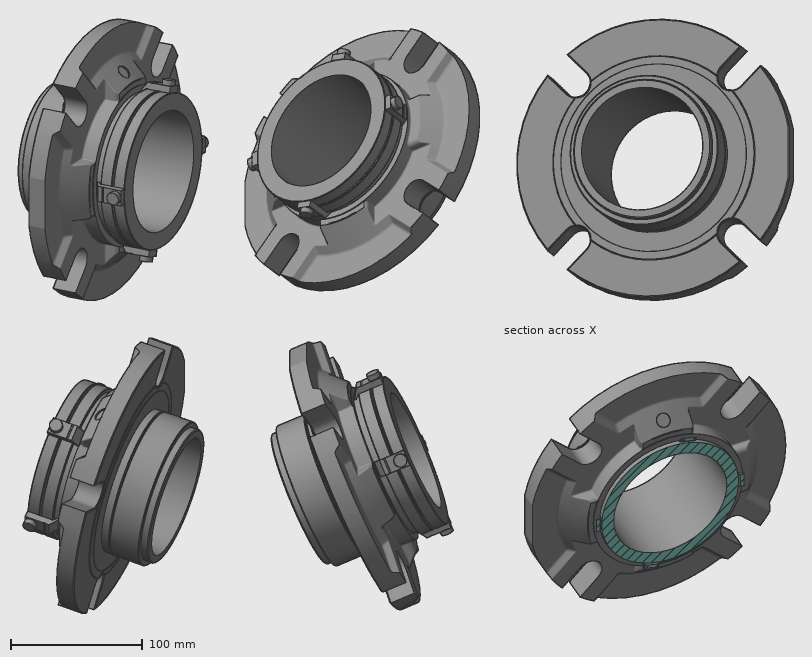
import cadquery as cq
import math


total_length = 97.1
bore_diameter = 95.0
nose_length = 6.1
nose_diameter = 107.92
seat_end = 30.2
seat_diameter = 116.2
relief_end = 31.3
relief_diameter = 112.79
shank_diameter = 115.88
sleeve_chamfer = 0.6
nose_chamfer = 0.9

neck_diameter = 115.77
collar_start = 76.3
collar_diameter = 122.07
groove_start = 86.1
groove_end = 87.5
groove_diameter = 109.93
collar_chamfer = 0.5

plate_diameter = 215.65
plate_start = 38.4
plate_end = 52.9
plate_chamfer = 0.8
flat_offset = 106.0
pilot_start = 37.1
pilot_diameter = 145.47
step_start = 37.7
step_radius = 79.3

slot_angles = (45, 135, 225, 315)
slot_width = 21.4
slot_centre_radius = 85.9
pad_end = 58.6
pad_base_half_width = 29.1
pad_top_half_width = 25.1
pad_fillet = 3.0

hub_radius = 62.9
hub_end = 71.0
lug_end = 70.3
cone_radius_at_pad_face = 79.2
lug_half_width = 22.5
lug_corner_radius = 4.3
lug_base_fillet = 1.2
lug_edge_fillet = 1.0
short_lug_end = 66.5
port_diameter = 11.0
port_station = 62.9
port_depth = 1.2

clip_width = 12.4
clip_inner_radius = 60.9
clip_outer_radius = 66.1
clip_tip_start = 71.6
clip_tip_radius = 57.7
clip_tip_thickness = 1.6
clip_bend = 77.0
clip_groove_start = 80.3
clip_groove_width = 1.2
clip_groove_depth = 0.3
pin_diameter = 10.0
pin_top_radius = 70.3
clip_tilt = 15

back_start = (plate_start + plate_end) / 2
trim_margin = 5.0
tolerance = 0.01

TO_PLUS_Z = 0
TO_MINUS_Y = 90
TO_MINUS_Z = 180
TO_PLUS_Y = 270
clip_angles = (TO_MINUS_Y, TO_PLUS_Y, TO_PLUS_Z - clip_tilt, TO_MINUS_Z - clip_tilt)


def turn(shape, angle):
    """Turn a feature built on the +Z side to its place about the X axis."""
    return shape.rotate((0, 0, 0), (1, 0, 0), angle)


def disc(start, end, diameter):
    return cq.Workplane("YZ", origin=(start, 0, 0)).circle(diameter / 2).extrude(end - start)


def cone_radius(station):
    return cone_radius_at_pad_face + pad_end - station


def revolve_profile(points):
    return cq.Workplane("XY").polyline(points).close().revolve(360, (0, 0, 0), (1, 0, 0))


def make_sleeve():
    nose = disc(0, nose_length, nose_diameter).faces("<X").chamfer(nose_chamfer)
    seat = disc(nose_length, seat_end, seat_diameter).faces("<X or >X").chamfer(sleeve_chamfer)
    relief = disc(seat_end, relief_end, relief_diameter)
    shank = disc(relief_end, pilot_start, shank_diameter)
    return nose.union(seat).union(relief).union(shank)


def make_collar():
    neck = disc(hub_end, collar_start, neck_diameter)
    inner_ring = disc(collar_start, groove_start, collar_diameter).faces("<X or >X").chamfer(collar_chamfer)
    groove = disc(groove_start, groove_end, groove_diameter)
    outer_ring = disc(groove_end, total_length, collar_diameter).faces("<X or >X").chamfer(collar_chamfer)
    return neck.union(inner_ring).union(groove).union(outer_ring)


def make_slot():
    """Round-bottomed slot, open at the rim."""
    reach = plate_diameter / 2 - slot_centre_radius + slot_width
    channel = cq.Workplane("XY").box(total_length, slot_width, reach, centered=(False, True, False))
    end = cq.Workplane("YZ").circle(slot_width / 2).extrude(total_length)
    return channel.union(end).translate((0, 0, slot_centre_radius))


def cut_slots(body):
    for angle in slot_angles:
        body = body.cut(turn(make_slot(), angle))
    return body


def make_rim(start, end):
    """Round rim with one flat on the -Y side."""
    rim = disc(start, end, plate_diameter)
    beyond_flat = cq.Workplane("XY").box(
        total_length, plate_diameter, plate_diameter, centered=(False, True, True)
    )
    return rim.cut(beyond_flat.translate((0, -flat_offset - plate_diameter / 2, 0)))


def make_plate():
    """Thin plate; its front edge is chamfered all round, slots included."""
    plate = cut_slots(make_rim(plate_start, plate_end))
    return plate.faces("<X").chamfer(plate_chamfer)


def make_pilot():
    """Two shallow steps standing on the front of the plate."""
    step_height = plate_start - step_start
    pilot = revolve_profile([
        (pilot_start, 0),
        (pilot_start, pilot_diameter / 2),
        (step_start, pilot_diameter / 2),
        (step_start, step_radius - step_height),
        (plate_start, step_radius),
        (plate_start, 0),
    ])
    return cut_slots(pilot)


def make_pad():
    """Straight bar with sloping sides; it runs past the rim and is trimmed later."""
    return (
        cq.Workplane("XY")
        .moveTo(back_start, -pad_base_half_width)
        .lineTo(plate_end, -pad_base_half_width)
        .lineTo(pad_end, -pad_top_half_width)
        .lineTo(pad_end, pad_top_half_width)
        .lineTo(plate_end, pad_base_half_width)
        .lineTo(back_start, pad_base_half_width)
        .close()
        .extrude(plate_diameter / 2 + trim_margin)
    )


def make_lug(end):
    """Lug with rounded end corners, before its top is trimmed to the cone."""
    length = end - back_start
    block = cq.Workplane("XY").box(
        length, 2 * lug_half_width, cone_radius(back_start), centered=(False, True, False)
    )
    block = block.edges("|Z and >X").fillet(lug_corner_radius)
    return block.translate((back_start, 0, 0))


def is_at(edge, station):
    """True when the edge lies square to the axis at this station."""
    return all(abs(vertex.X - station) < tolerance for vertex in edge.Vertices())


def distance_from_axis(edge):
    """Distance of the middle of an edge from the X axis."""
    middle = edge.positionAt(0.5)
    return math.hypot(middle.y, middle.z)


def make_hub():
    """Hub barrel and lugs standing on the pad face, trimmed to the cone."""
    slab_radius = cone_radius(back_start)
    hub = disc(back_start, pad_end, 2 * slab_radius).union(disc(pad_end, hub_end, 2 * hub_radius))
    for angle in (TO_PLUS_Z, TO_MINUS_Y, TO_MINUS_Z):
        hub = hub.union(turn(make_lug(hub_end), angle))
    hub = hub.union(turn(make_lug(short_lug_end), TO_PLUS_Y))
    base_edges = []
    for edge in hub.edges().vals():
        on_pad_face = is_at(edge, pad_end) and distance_from_axis(edge) < slab_radius - tolerance
        on_barrel = abs(distance_from_axis(edge) - hub_radius) < tolerance
        if on_pad_face or (on_barrel and not is_at(edge, hub_end)):
            base_edges.append(edge)
    hub = hub.newObject(base_edges).fillet(lug_base_fillet)
    envelope = revolve_profile([
        (back_start, 0),
        (back_start, cone_radius(plate_end)),
        (plate_end, cone_radius(plate_end)),
        (lug_end, cone_radius(lug_end)),
        (lug_end, hub_radius),
        (hub_end, hub_radius),
        (hub_end, 0),
    ])
    return hub.intersect(turn(envelope, slot_angles[0]))


def make_gland_back():
    """Back of the gland, with the pads and the cone blended into the thin plate."""
    rim_radius = plate_diameter / 2
    back = disc(back_start, plate_end, plate_diameter + 2 * trim_margin).union(make_hub())
    for angle in slot_angles:
        back = back.union(turn(make_pad(), angle))
    foot_edges = [
        edge for edge in back.edges().vals()
        if plate_end - tolerance < edge.positionAt(0.5).x < pad_end - tolerance
        and distance_from_axis(edge) < rim_radius
    ]
    back = back.newObject(foot_edges).fillet(pad_fillet)
    lug_edges = [
        edge for edge in back.edges().vals()
        if edge.positionAt(0.5).x > pad_end + lug_base_fillet
        and abs(distance_from_axis(edge) - cone_radius(edge.positionAt(0.5).x)) < tolerance
    ]
    back = back.newObject(lug_edges).fillet(lug_edge_fillet)
    return back.intersect(make_rim(back_start, hub_end))


def make_port():
    """Shallow round recess square to the cone of the +Z lug."""
    mouth = cq.Plane(
        origin=(port_station, 0, cone_radius(port_station)), xDir=(0, 1, 0), normal=(1, 0, 1)
    )
    return cq.Workplane(mouth).circle(port_diameter / 2).extrude(port_depth, both=True)


def make_clip():
    groove_end_station = clip_groove_start + clip_groove_width
    groove_floor = clip_outer_radius - clip_groove_depth
    clip = (
        cq.Workplane("XZ")
        .moveTo(clip_tip_start, clip_tip_radius)
        .lineTo(clip_bend, clip_outer_radius)
        .lineTo(clip_groove_start, clip_outer_radius)
        .lineTo(clip_groove_start, groove_floor)
        .lineTo(groove_end_station, groove_floor)
        .lineTo(groove_end_station, clip_outer_radius)
        .lineTo(total_length, clip_outer_radius)
        .lineTo(total_length, clip_inner_radius)
        .lineTo(collar_start, clip_inner_radius)
        .lineTo(clip_tip_start + clip_tip_thickness, clip_tip_radius)
        .close()
        .extrude(clip_width / 2, both=True)
    )
    pin = (
        cq.Workplane("XY", origin=(total_length - pin_diameter / 2, 0, clip_inner_radius))
        .circle(pin_diameter / 2)
        .extrude(pin_top_radius - clip_inner_radius)
    )
    return clip.union(pin)


gland = make_plate().union(make_pilot()).union(cut_slots(make_gland_back()))
gland = gland.cut(make_port())

result = make_sleeve().union(gland).union(make_collar())
for angle in clip_angles:
    result = result.union(turn(make_clip(), angle))
result = result.cut(disc(0, total_length, bore_diameter))